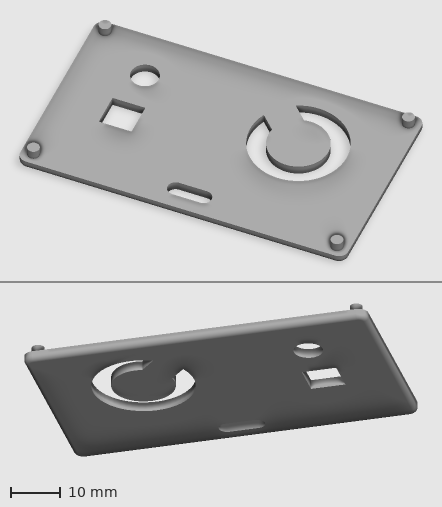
import cadquery as cq

length = 71.4
width = 42.0
thickness = 2.0
corner_radius = 2.0
bottom_edge_radius = 1.0

pin_diameter = 2.6
pin_height = 2.0
pin_spacing_x = 66.1
pin_spacing_y = 37.0

window_x = -20.9
round_hole_y = 10.35
round_hole_diameter = 6.0
square_hole_y = -1.5
square_hole_side = 7.15

slot_y = -16.2
slot_length = 9.6
slot_width = 3.4

ring_center = (14.8, 4.9)
ring_outer_radius = 10.5
tongue_radius = 6.5
neck_width = 6.9
neck_angle = 135.0


def make_plate():
    blank = cq.Workplane("XY").box(length, width, thickness, centered=(True, True, False))
    return blank.edges("|Z").fillet(corner_radius).faces("<Z").edges().fillet(bottom_edge_radius)


def make_pins():
    return (
        cq.Workplane("XY")
        .workplane(offset=thickness)
        .rarray(pin_spacing_x, pin_spacing_y, 2, 2)
        .circle(pin_diameter / 2)
        .extrude(pin_height)
    )


def make_window_cutters():
    round_hole = (
        cq.Workplane("XY")
        .center(window_x, round_hole_y)
        .circle(round_hole_diameter / 2)
        .extrude(thickness)
    )
    square_hole = (
        cq.Workplane("XY")
        .center(window_x, square_hole_y)
        .rect(square_hole_side, square_hole_side)
        .extrude(thickness)
    )
    slot = cq.Workplane("XY").center(0, slot_y).slot2D(slot_length, slot_width).extrude(thickness)
    return round_hole.union(square_hole).union(slot)


def make_ring_cutter():
    ring = cq.Workplane("XY").circle(ring_outer_radius).circle(tongue_radius).extrude(thickness)
    neck_length = 2 * ring_outer_radius
    neck = (
        cq.Workplane("XY")
        .box(neck_length, neck_width, thickness, centered=(False, True, False))
        .rotate((0, 0, 0), (0, 0, 1), neck_angle)
    )
    return ring.cut(neck).translate((*ring_center, 0))


result = make_plate().union(make_pins()).cut(make_window_cutters()).cut(make_ring_cutter())